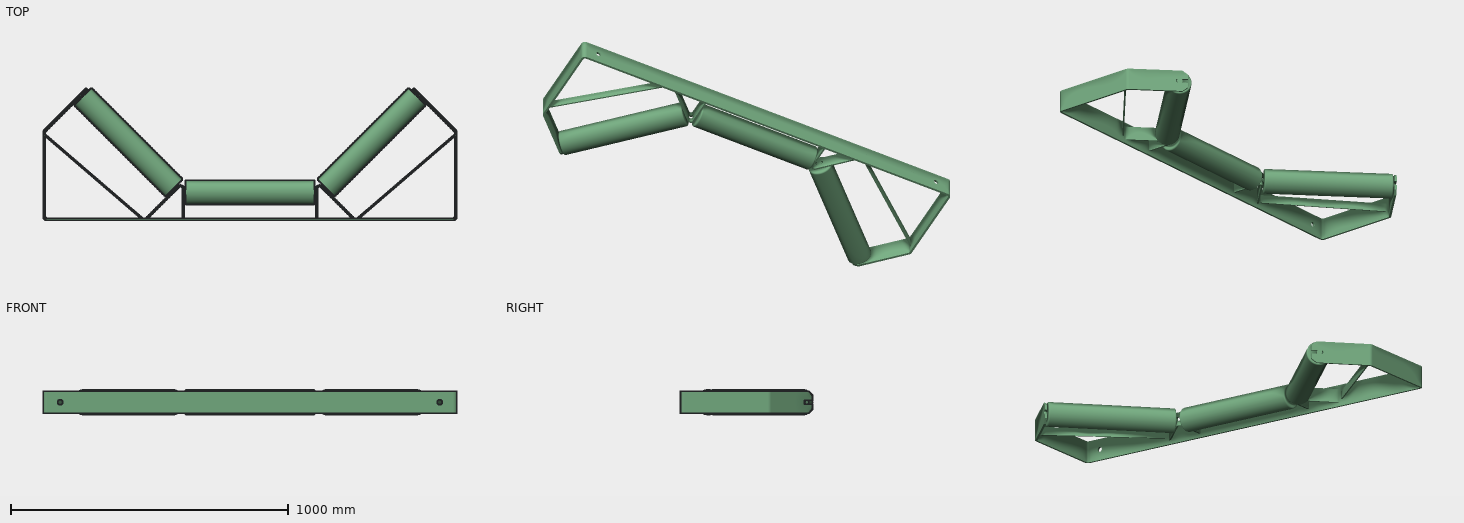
import cadquery as cq
import math

frame_length = 1490.0
frame_depth = 476.48
wall_height = 321.5
bar_width = 80.0
bar_thickness = 8.0
bend_radius = 7.0
mount_hole_diameter = 18.0
mount_hole_spacing = 1366.0

roller_diameter = 89.0
roller_length = 466.0
roller_edge_fillet = 5.0
axle_diameter = 20.0
axle_flat_width = 14.0
side_roller_angle = 45.0
support_span = 475.0
center_axle_height = 101.0
axle_depth_in_arm = 30.0

vee_width = 50.0
vee_thickness = 6.0

corner_cut_width = 15.0
corner_cut_length = 20.0

brace_width = 30.0
brace_thickness = 5.0
brace_wall_height = 310.0
brace_foot_x = -386.0

DIAGONAL = math.sqrt(0.5)
half_length = frame_length / 2
half_span = support_span / 2
arm_rise = frame_depth - wall_height
arm_tip = (-half_length + arm_rise, frame_depth)

arm_inner_offset = wall_height + half_length - bar_thickness / DIAGONAL
slanted_leg_offset = arm_inner_offset - support_span / DIAGONAL
vee_apex = (-half_span, slanted_leg_offset - half_span)

side_axle_sum = sum(arm_tip) - axle_depth_in_arm / DIAGONAL
side_axle_difference = (arm_inner_offset + slanted_leg_offset) / 2
side_center = (
    (side_axle_sum - side_axle_difference) / 2,
    (side_axle_sum + side_axle_difference) / 2,
)


def left_normal(start, end):
    length = math.dist(start, end)
    return (-(end[1] - start[1]) / length, (end[0] - start[0]) / length)


def bent_bar(outer, thickness, width):
    """Flat bar whose outer face follows the points; its material lies left of the direction of travel."""
    normals = [left_normal(a, b) for a, b in zip(outer, outer[1:])]
    normals = [normals[0], *normals, normals[-1]]
    inner = []
    for point, before, after in zip(outer, normals, normals[1:]):
        reach = thickness / (1 + before[0] * after[0] + before[1] * after[1])
        inner.append((
            point[0] + reach * (before[0] + after[0]),
            point[1] + reach * (before[1] + after[1]),
        ))
    bar = cq.Workplane("XY").polyline(outer + inner[::-1]).close().extrude(width / 2, both=True)
    for corners, radius in ((outer, bend_radius + thickness), (inner, bend_radius)):
        for corner in corners[1:-1]:
            bar = bar.edges(cq.NearestToPointSelector((*corner, 0))).fillet(radius)
    return bar


def slot_cutter():
    """Cutter for a slot that holds an axle end on the origin: open along +Y, round at the bottom."""
    bottom = -math.sqrt(axle_diameter**2 - axle_flat_width**2) / 2
    reach = 2 * bar_thickness
    height = axle_depth_in_arm - bottom
    straight = (
        cq.Workplane("YZ")
        .center(bottom + height / 2, 0)
        .rect(height, axle_flat_width)
        .extrude(reach, both=True)
    )
    rounded = cq.Workplane("YZ").center(bottom, 0).circle(axle_flat_width / 2).extrude(reach, both=True)
    return straight.union(rounded)


def side_slot_cutter(distance):
    """Slot for the side roller's axle, at a distance down its axis from the roller's middle."""
    seat = (side_center[0] + distance * DIAGONAL, side_center[1] - distance * DIAGONAL, 0)
    return slot_cutter().rotate((0, 0, 0), (0, 0, 1), -side_roller_angle).translate(seat)


def corner_cutter():
    """Cutter for the two corners of a bar that ends at the origin and points along +Y."""
    half_width = bar_width / 2
    corner = (
        cq.Workplane("YZ")
        .moveTo(-corner_cut_length, half_width)
        .lineTo(corner_cut_length, half_width - 2 * corner_cut_width)
        .lineTo(corner_cut_length, half_width)
        .close()
        .extrude(bar_width, both=True)
    )
    return corner.union(corner.mirror("XY"))


def mirrored(body):
    return body.mirror("YZ")


def make_frame():
    outer = [
        arm_tip,
        (-half_length, wall_height),
        (-half_length, 0),
        (half_length, 0),
        (half_length, wall_height),
        (-arm_tip[0], arm_tip[1]),
    ]
    frame = bent_bar(outer, bar_thickness, bar_width)
    tip_cutter = corner_cutter().rotate((0, 0, 0), (0, 0, 1), -side_roller_angle).translate((*arm_tip, 0))
    arm_cutter = tip_cutter.union(side_slot_cutter(-half_span))
    holes = (
        cq.Workplane("XZ")
        .pushPoints([(-mount_hole_spacing / 2, 0), (mount_hole_spacing / 2, 0)])
        .circle(mount_hole_diameter / 2)
        .extrude(-bar_thickness)
    )
    return frame.cut(arm_cutter).cut(mirrored(arm_cutter)).cut(holes)


def trim_to_frame(body):
    """Keep only what lies inside the side walls and above the base."""
    inside = cq.Workplane("XY").box(
        frame_length - 2 * bar_thickness, frame_depth, bar_width
    ).translate((0, bar_thickness + frame_depth / 2, 0))
    return body.intersect(inside)


def make_vee():
    foot = (vee_apex[0] - vee_apex[1], 0)
    vee = bent_bar([(-half_span, 0), vee_apex, foot], vee_thickness, vee_width)
    center_slot = slot_cutter().translate((-half_span, center_axle_height, 0))
    side_slot = side_slot_cutter(half_span)
    return trim_to_frame(vee.cut(center_slot).cut(side_slot))


def make_brace():
    wall_x = -half_length + bar_thickness
    slope = (brace_wall_height - bar_thickness) / (brace_foot_x - wall_x)
    overrun = 4 * bar_thickness
    start = (brace_foot_x + overrun, bar_thickness - slope * overrun)
    end = (wall_x - overrun, brace_wall_height + slope * overrun)
    brace = bent_bar([start, end], brace_thickness, brace_width)
    return trim_to_frame(brace)


def make_roller(left_support, right_support):
    """Roller along X, centred on the origin, with axle ends flush with the far faces of its supports."""
    shell = (
        cq.Workplane("YZ", origin=(-roller_length / 2, 0, 0))
        .circle(roller_diameter / 2)
        .extrude(roller_length)
        .faces("<X or >X")
        .fillet(roller_edge_fillet)
    )
    axle = (
        cq.Workplane("YZ", origin=(-half_span - left_support, 0, 0))
        .circle(axle_diameter / 2)
        .extrude(support_span + left_support + right_support)
        .intersect(cq.Workplane("XY").box(frame_length, axle_diameter, axle_flat_width))
    )
    return shell.union(axle)


frame = make_frame()
vee = make_vee()
vees = [vee, mirrored(vee)]
brace = make_brace()
braces = [brace, mirrored(brace)]
center_roller = make_roller(vee_thickness, vee_thickness).translate((0, center_axle_height, 0))
side_roller = make_roller(bar_thickness, vee_thickness)
side_roller = side_roller.rotate((0, 0, 0), (0, 0, 1), -side_roller_angle).translate((*side_center, 0))
rollers = [center_roller, side_roller, mirrored(side_roller)]

result = cq.Compound.makeCompound([body.val() for body in [frame, *vees, *braces, *rollers]])